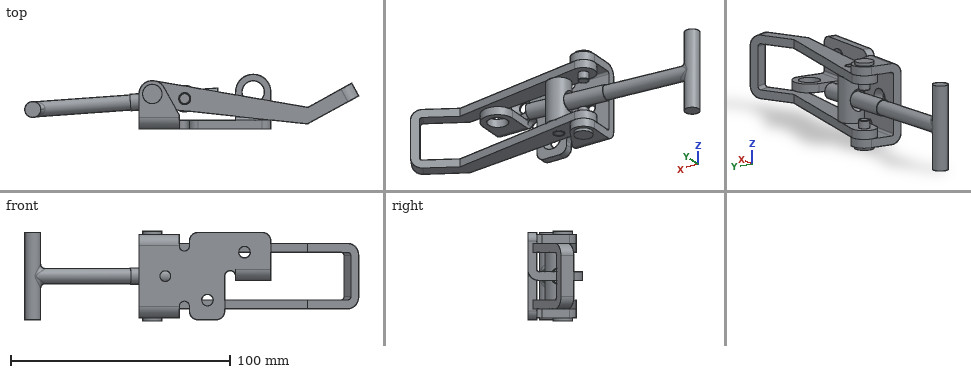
import cadquery as cq
import math


sheet = 4.1
bend_radius = 5.2
pivot_y = 16.0
eye_radius = 6.1

bracket_left = -eye_radius
ear_right = 12.3
ear_shoulder_y = 6.4
ear_outer_z = 19.0
plate_left = 16.9
plate_half_width = 20.0
plate_corner = 4.0
relief_end_z = 11.5
relief_radius = (plate_left - ear_right) / 2
step_x = 33.0

center_hole_x = 6.0
center_hole_radius = 2.5
mount_hole_radius = 2.6
mount_holes = [(25.1, -11.0), (42.0, 11.0)]
countersink_land = 0.8
countersink_angle = 35

loop_right = 54.1
loop_radius = 8.1
loop_hole_radius = 5.0
loop_top_y = 25.0
loop_left = loop_right - 2 * loop_radius

lever_outer_z = ear_outer_z - sheet
lever_inner_z = lever_outer_z - sheet
lever_knee_top = (71.0, 9.9)
lever_knee_bottom = (70.7, 2.3)
lever_tip_bottom = (94.2, 15.1)
lever_tip_width = 6.7
lever_corner_inner = 1.5
lever_corner_outer = lever_corner_inner + sheet

pin_head_radius = 4.4
overall_width = 41.0
pin_head_outer_z = overall_width / 2
pin_shank_radius = 2.6
pin_inner_z = 7.0
pin_chamfer = 0.3

barrel_x = 14.8
barrel_y = 13.9
barrel_radius = 6.1
journal_radius = 2.7
journal_chamfer = 0.5
countersink_radius = 5.3
bore_cone_angle = 45

screw_tilt = 4.1
handle_distance = 69.5
handle_radius = 3.7
handle_half_length = 20.0
stem_radius = 3.5
thread_radius = 3.8
thread_start = -24.8
thread_end = 15.4
stem_fillet = 2.0

pivot = (0, pivot_y)


def tangent_point(center, radius, outside, side):
    """Point where a line from `outside` touches the circle; side +1 or -1 picks which of the two."""
    dx = outside[0] - center[0]
    dy = outside[1] - center[1]
    angle = math.atan2(dy, dx) + side * math.acos(radius / math.hypot(dx, dy))
    return (center[0] + radius * math.cos(angle), center[1] + radius * math.sin(angle))


def cylinder(x, y, radius, z_from, z_to):
    """Cylinder parallel to Z."""
    return cq.Workplane("XY", origin=(x, y, z_from)).circle(radius).extrude(z_to - z_from)


def plate_box(x_from, x_to, z_from, z_to):
    """Rectangular piece of the base plate."""
    return (
        cq.Workplane("XY")
        .box(x_to - x_from, sheet, z_to - z_from, centered=False)
        .translate((x_from, 0, z_from))
    )


def make_plate():
    """Flat base plate, from Y = 0 up to the sheet thickness."""
    neck_half_width = relief_end_z + relief_radius
    neck = plate_box(bracket_left, plate_left, -neck_half_width, neck_half_width)
    wide = plate_box(plate_left, step_x, -plate_half_width, plate_half_width)
    hook_start_z = bend_radius - sheet / 2
    wide = wide.union(plate_box(step_x, loop_right, hook_start_z, plate_half_width))
    wide = wide.union(plate_box(step_x, loop_left, 0, plate_half_width))
    outer_corners = [
        (plate_left, plate_half_width),
        (plate_left, -plate_half_width),
        (loop_right, plate_half_width),
        (step_x, -plate_half_width),
    ]
    for x, z in outer_corners:
        wide = wide.edges(cq.selectors.NearestToPointSelector((x, sheet / 2, z))).fillet(plate_corner)
    slot_width = loop_left - step_x
    slot_end = (
        cq.Workplane("XZ", origin=(step_x + slot_width / 2, 0, 0)).circle(slot_width / 2).extrude(-sheet)
    )
    relief_ends = (
        cq.Workplane("XZ")
        .pushPoints([(ear_right + relief_radius, side * neck_half_width) for side in (1, -1)])
        .circle(relief_radius)
        .extrude(-sheet)
    )
    return neck.union(wide).cut(slot_end).cut(relief_ends)


def make_channel():
    """U-shaped pair of ears, bent up from the plate and trimmed to the ear outline."""
    length = ear_right - bracket_left
    top_y = pivot_y + eye_radius
    channel = (
        cq.Workplane("YZ", origin=(bracket_left, 0, 0))
        .center(top_y / 2, 0)
        .rect(top_y, 2 * ear_outer_z)
        .extrude(length)
        .edges("|X and <Y").fillet(bend_radius)
    )
    inside = (
        cq.Workplane("YZ", origin=(bracket_left, 0, 0))
        .center(sheet + top_y / 2, 0)
        .rect(top_y, 2 * (ear_outer_z - sheet))
        .extrude(length)
        .edges("|X and <Y").fillet(bend_radius - sheet)
    )
    shoulder = (ear_right, ear_shoulder_y)
    outline = (
        cq.Workplane("XY", origin=(0, 0, -ear_outer_z))
        .moveTo(bracket_left, 0)
        .lineTo(ear_right, 0)
        .lineTo(*shoulder)
        .lineTo(*tangent_point(pivot, eye_radius, shoulder, 1))
        .threePointArc((0, top_y), (bracket_left, pivot_y))
        .close()
        .extrude(2 * ear_outer_z)
    )
    return channel.cut(inside).intersect(outline)


def make_loop():
    """Padlock loop, bent up from the plate at mid width."""
    loop_x = loop_right - loop_radius
    loop_y = loop_top_y - loop_radius
    bend_z = bend_radius - sheet / 2
    blank = (
        cq.Workplane("YZ", origin=(loop_left, 0, 0))
        .moveTo(0, bend_z)
        .radiusArc((bend_radius, -sheet / 2), -bend_radius)
        .lineTo(loop_top_y, -sheet / 2)
        .lineTo(loop_top_y, sheet / 2)
        .lineTo(bend_radius, sheet / 2)
        .radiusArc((sheet, bend_z), bend_radius - sheet)
        .close()
        .extrude(2 * loop_radius)
    )
    outline = (
        cq.Workplane("XY", origin=(0, 0, -bend_z))
        .moveTo(loop_right, 0)
        .lineTo(loop_right, loop_y)
        .threePointArc((loop_x, loop_top_y), (loop_left, loop_y))
        .lineTo(loop_left, 0)
        .close()
        .extrude(2 * bend_z)
    )
    eye = cylinder(loop_x, loop_y, loop_hole_radius, -bend_z, bend_z)
    return blank.intersect(outline).cut(eye)


def countersunk_hole(x, z, radius):
    """Cutter for a plate hole that widens toward the inner face of the plate."""
    wide_radius = radius + (sheet - countersink_land) * math.tan(math.radians(countersink_angle))
    return (
        cq.Workplane("XY")
        .lineTo(radius, 0)
        .lineTo(radius, countersink_land)
        .lineTo(wide_radius, sheet)
        .lineTo(0, sheet)
        .close()
        .revolve(360, (0, 0), (0, 1))
        .translate((x, 0, z))
    )


def make_bracket():
    """Sheet bracket: plate, two ears and padlock loop, with its holes."""
    bracket = make_plate().union(make_channel()).union(make_loop())
    bracket = bracket.cut(countersunk_hole(center_hole_x, 0, center_hole_radius))
    for x, z in mount_holes:
        bracket = bracket.cut(countersunk_hole(x, z, mount_hole_radius))
    return bracket.cut(cylinder(*pivot, pin_shank_radius, -ear_outer_z, ear_outer_z))


def make_lever():
    """Bent U-shaped lever with two arms joined by a cross bar at the tip."""
    tip_angle = math.atan2(
        lever_tip_bottom[1] - lever_knee_bottom[1], lever_tip_bottom[0] - lever_knee_bottom[0]
    )
    tip_top = (
        lever_tip_bottom[0] - lever_tip_width * math.sin(tip_angle),
        lever_tip_bottom[1] + lever_tip_width * math.cos(tip_angle),
    )
    eye_bottom = tangent_point(pivot, eye_radius, lever_knee_bottom, -1)
    eye_top = tangent_point(pivot, eye_radius, lever_knee_top, 1)
    lever = (
        cq.Workplane("XY", origin=(0, 0, -lever_outer_z))
        .moveTo(*eye_bottom)
        .lineTo(*lever_knee_bottom)
        .lineTo(*lever_tip_bottom)
        .lineTo(*tip_top)
        .lineTo(*lever_knee_top)
        .lineTo(*eye_top)
        .threePointArc((-eye_radius, pivot_y), eye_bottom)
        .close()
        .extrude(2 * lever_outer_z)
    )
    tip_middle = ((lever_tip_bottom[0] + tip_top[0]) / 2, (lever_tip_bottom[1] + tip_top[1]) / 2)
    for z in (lever_outer_z, -lever_outer_z):
        corner = cq.selectors.NearestToPointSelector((*tip_middle, z))
        lever = lever.edges(corner).fillet(lever_corner_outer)
    reach = 152.4
    window = (
        cq.Workplane("XY")
        .box(reach, reach, 2 * lever_inner_z)
        .edges("|Y and >X").fillet(lever_corner_inner)
        .translate((-reach / 2 - sheet, 0, 0))
        .rotate((0, 0, 0), (0, 0, 1), math.degrees(tip_angle))
        .translate((*lever_tip_bottom, 0))
    )
    lever = lever.cut(window)
    lever = lever.cut(cylinder(*pivot, pin_shank_radius, -lever_outer_z, lever_outer_z))
    return lever.cut(cylinder(barrel_x, barrel_y, journal_radius, -lever_outer_z, lever_outer_z))


def make_pin(side):
    """Headed pivot pin through one ear and one arm; side is +1 or -1 along Z."""
    head = cylinder(*pivot, pin_head_radius, side * ear_outer_z, side * pin_head_outer_z)
    shank = cylinder(*pivot, pin_shank_radius, side * pin_inner_z, side * ear_outer_z)
    inner_end = cq.selectors.NearestToPointSelector((*pivot, side * pin_inner_z))
    shank = shank.faces(inner_end).chamfer(pin_chamfer)
    return head.union(shank)


def along_screw(distance):
    """Plane square to the screw axis, at a distance from the barrel axis."""
    tilt = math.radians(screw_tilt)
    direction = (math.cos(tilt), math.sin(tilt), 0)
    origin = (barrel_x + distance * direction[0], barrel_y + distance * direction[1], 0)
    return cq.Plane(origin=origin, xDir=(0, 0, 1), normal=direction)


def make_barrel():
    """Barrel nut with a journal at each end and a cross bore for the screw."""
    body = cylinder(barrel_x, barrel_y, barrel_radius, -lever_inner_z, lever_inner_z)
    journals = (
        cylinder(barrel_x, barrel_y, journal_radius, -lever_outer_z, lever_outer_z)
        .faces("|Z").chamfer(journal_chamfer)
    )
    bore = cq.Workplane(along_screw(-2 * barrel_radius)).circle(thread_radius).extrude(4 * barrel_radius)
    countersink = (
        cq.Workplane(along_screw(-barrel_radius))
        .circle(countersink_radius)
        .extrude(countersink_radius, taper=bore_cone_angle)
    )
    return body.union(journals).cut(bore).cut(countersink)


def make_screw():
    """T-handled screw passing through the barrel nut."""
    handle_origin = along_screw(-handle_distance).origin
    handle = cylinder(
        handle_origin.x, handle_origin.y, handle_radius, -handle_half_length, handle_half_length
    )
    stem = (
        cq.Workplane(along_screw(-handle_distance))
        .circle(stem_radius)
        .extrude(handle_distance + thread_start)
    )
    thread = (
        cq.Workplane(along_screw(thread_start))
        .circle(thread_radius)
        .extrude(thread_end - thread_start)
    )
    box_half = 6.1
    junction = cq.selectors.BoxSelector(
        (handle_origin.x - box_half, handle_origin.y - box_half, -box_half),
        (handle_origin.x + box_half, handle_origin.y + box_half, box_half),
    )
    return handle.union(stem).edges(junction).fillet(stem_fillet).union(thread)


bracket = make_bracket()
lever = make_lever()
pins = [make_pin(side) for side in (1, -1)]
barrel = make_barrel()
screw = make_screw()

result = cq.Compound.makeCompound(
    [bracket.val(), lever.val(), *[pin.val() for pin in pins], barrel.val(), screw.val()]
)